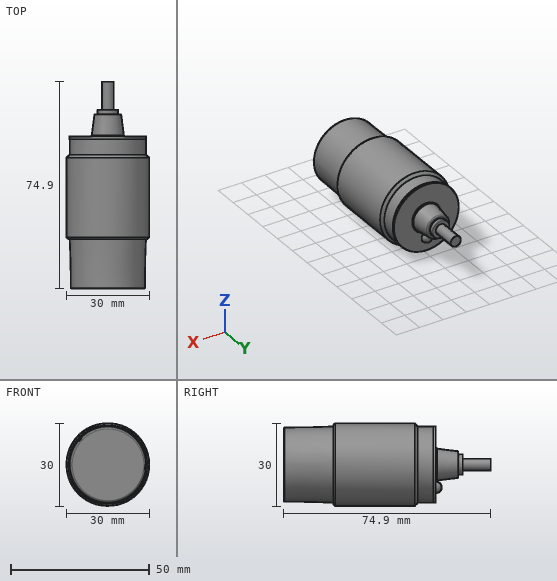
import cadquery as cq

total_length = 74.9
cable_radius = 2.2

nose_front_radius = 13.52
nose_middle_radius = 13.55
nose_root_radius = 13.85
nose_edge_fillet = 0.5
nose_length = 17.8

body_radius = 15.02
body_front_chamfer = 0.75
body_rear_y = 48.45
body_rear_chamfer = 1.1

cap_radius = 13.85
disc_radius = 13.895
disc_front_y = 54.1
cap_rear_y = 55.05

boot_foot_radius = 6.15
boot_foot_length = 0.45
boot_root_radius = 5.85
boot_tip_radius = 4.9
boot_rear_y = 63.15
boot_edge_fillet = 0.5

collar_radius = 3.75
collar_rear_y = 64.8
collar_edge_fillet = 0.2

lamp_radius = 2.1
lamp_drop = 8.25


def turned(outline):
    """Close an outline drawn from axis to axis and turn it about Y."""
    return outline.close().revolve(360, (0, 0, 0), (0, 1, 0))


def make_nose():
    outline = (
        cq.Workplane("XY")
        .lineTo(nose_front_radius, 0)
        .threePointArc((nose_middle_radius, nose_length / 2), (nose_root_radius, nose_length))
        .lineTo(0, nose_length)
    )
    return turned(outline).faces("<Y").edges().fillet(nose_edge_fillet)


def make_body_and_cap():
    outline = (
        cq.Workplane("XY")
        .moveTo(0, nose_length)
        .lineTo(body_radius - body_front_chamfer, nose_length)
        .lineTo(body_radius, nose_length + body_front_chamfer)
        .lineTo(body_radius, body_rear_y - body_rear_chamfer)
        .lineTo(cap_radius, body_rear_y)
        .lineTo(cap_radius, disc_front_y)
        .lineTo(disc_radius, disc_front_y)
        .lineTo(disc_radius, cap_rear_y)
        .lineTo(0, cap_rear_y)
    )
    return turned(outline)


def make_boot():
    outline = (
        cq.Workplane("XY")
        .moveTo(0, cap_rear_y)
        .lineTo(boot_foot_radius, cap_rear_y)
        .lineTo(boot_root_radius, cap_rear_y + boot_foot_length)
        .lineTo(boot_tip_radius, boot_rear_y)
        .lineTo(0, boot_rear_y)
    )
    return turned(outline).faces(">Y").edges().fillet(boot_edge_fillet)


def make_rod(radius, front_y, rear_y):
    """A round rod along the Y axis."""
    outline = (
        cq.Workplane("XY")
        .moveTo(0, front_y)
        .lineTo(radius, front_y)
        .lineTo(radius, rear_y)
        .lineTo(0, rear_y)
    )
    return turned(outline)


def make_collar():
    collar = make_rod(collar_radius, boot_rear_y, collar_rear_y)
    return collar.faces("<Y or >Y").edges().fillet(collar_edge_fillet)


def make_cable():
    return make_rod(cable_radius, boot_rear_y, total_length)


def make_lamp():
    return cq.Workplane("XY").sphere(lamp_radius).translate((0, cap_rear_y, -lamp_drop))


result = (
    make_body_and_cap()
    .union(make_nose())
    .union(make_boot())
    .union(make_collar())
    .union(make_cable())
    .union(make_lamp())
)